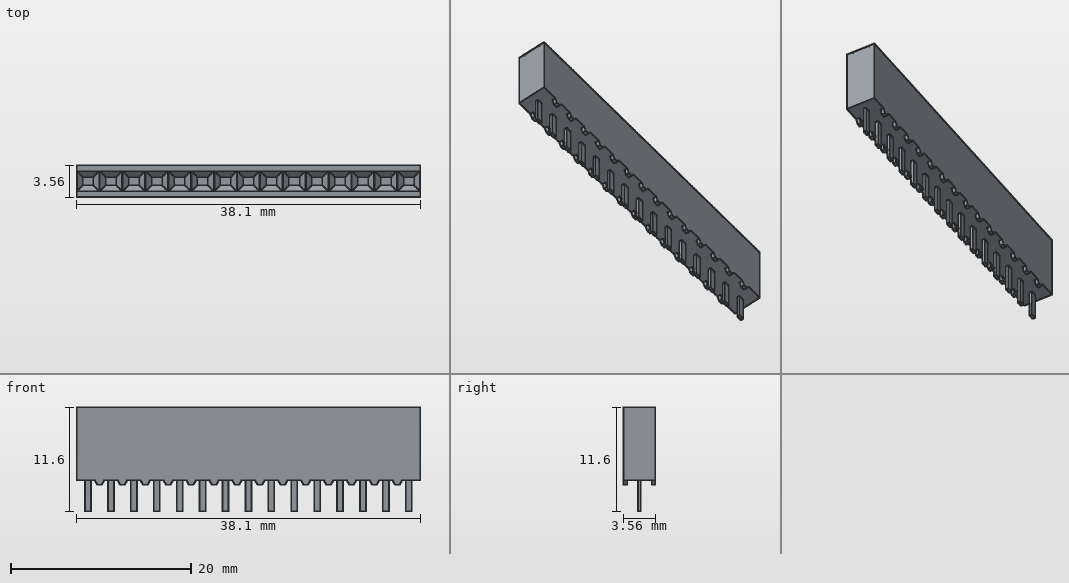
import cadquery as cq

contact_count = 15
pitch = 2.54

housing_length = contact_count * pitch
housing_width = 3.56
housing_height = 8.13

pocket_wall = 0.1
pocket_length = pitch - pocket_wall
pocket_width = 2.2
recess_length = 1.17
recess_width = 0.92
taper_depth = 0.65
recess_depth = 0.12

foot_height = 0.5
foot_root_length = 1.08
foot_tip_length = 0.5
foot_width = 0.43

pin_length = 3.43
pin_width = 0.7
pin_thickness = 0.33


def row_positions(count):
    """X positions of a row of items spaced one pitch apart and centred on X = 0."""
    first = -(count - 1) * pitch / 2
    return [(first + index * pitch, 0) for index in range(count)]


def make_housing():
    return cq.Workplane("XY").box(
        housing_length, housing_width, housing_height, centered=(True, True, False)
    )


def make_pockets():
    """Inverted pyramid frustums that end in straight recesses, one above each pin."""
    taper = (
        cq.Workplane("XY", origin=(0, 0, housing_height))
        .rect(pocket_length, pocket_width)
        .workplane(offset=-taper_depth)
        .rect(recess_length, recess_width)
        .loft(ruled=True)
    )
    recess = (
        cq.Workplane("XY", origin=(0, 0, housing_height - taper_depth))
        .rect(recess_length, recess_width)
        .extrude(-recess_depth)
    )
    pocket = taper.union(recess).val()
    return (
        cq.Workplane("XY")
        .pushPoints(row_positions(contact_count))
        .eachpoint(lambda location: pocket.moved(location))
    )


def make_feet(edge_y):
    """A row of trapezoidal feet whose +Y faces lie at edge_y."""
    foot = (
        cq.Workplane("XZ", origin=(0, edge_y, 0))
        .moveTo(-foot_root_length / 2, 0)
        .lineTo(foot_root_length / 2, 0)
        .lineTo(foot_tip_length / 2, -foot_height)
        .lineTo(-foot_tip_length / 2, -foot_height)
        .close()
        .extrude(foot_width)
        .val()
    )
    return (
        cq.Workplane("XY")
        .pushPoints(row_positions(contact_count - 1))
        .eachpoint(lambda location: foot.moved(location))
    )


def make_pins():
    return (
        cq.Workplane("XY")
        .pushPoints(row_positions(contact_count))
        .rect(pin_width, pin_thickness)
        .extrude(-pin_length)
    )


back_edge_y = housing_width / 2
front_feet_back_y = -housing_width / 2 + foot_width

result = (
    make_housing()
    .cut(make_pockets())
    .union(make_feet(back_edge_y))
    .union(make_feet(front_feet_back_y))
    .union(make_pins())
)